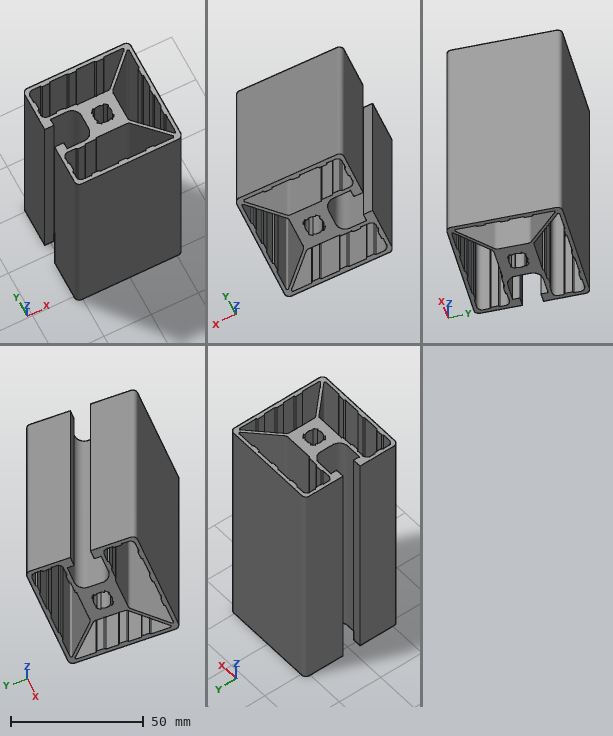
import cadquery as cq
import math

SIZE = 45.0
LENGTH = 100.0
OUTER_RADIUS = 2.0
WALL = 1.5
HALF = SIZE / 2
INNER = HALF - WALL

LIP_HALF_GAP = 4.1
LIP_DEPTH = 3.9
SLOT_DEPTH = 15.0
SLOT_HALF_WIDTH = 6.9
SLOT_RADIUS = 4.0
SLOT_WALL = 1.4
SLOT_WALL_OUTER = SLOT_HALF_WIDTH + SLOT_WALL

CORE_HALF_X = 7.5
CORE_HALF_Y = 7.8
STEP_X = -7.2
STEP_LENGTH = 0.5
WEB = 1.2
WEB_OFFSET = WEB / math.sqrt(2)
CHAMBER_RADIUS = 2.0
WEB_ROOT_RADIUS = 2.0
WEB_TIP_RADIUS = 0.5

HOLE_RADIUS = 3.6
LOBE_RADIUS = 4.2
LOBE_ANGLE = 26.0

PAD_WIDTH = 3.0
PAD_HEIGHT = 0.5
PAD_BASE = PAD_WIDTH + 2 * PAD_HEIGHT
PAD_ROOT = 0.1
SIDE_PAD_X = (-13.6, -2.3, 9.3)
END_PAD_PITCH = 9.2
LIP_PAD_Y = 14.4


def prism(points):
    return cq.Workplane("XY").polyline(points).close().extrude(LENGTH)


def round_edge(body, point, radius):
    """Fillet the vertical edge that passes through the given XY point."""
    x, y = point
    edge = cq.selectors.NearestToPointSelector((x, y, LENGTH / 2))
    return body.edges("|Z").edges(edge).fillet(radius)


def mirror_y(body):
    return body.mirror("XZ")


def side_chamber():
    """Chamber on the +Y side, between slot wall, core, web and outer wall."""
    wall_corners = [(-INNER, INNER), (-INNER, SLOT_WALL_OUTER)]
    web_root = (CORE_HALF_Y - WEB_OFFSET, CORE_HALF_Y)
    web_tip = (INNER - WEB_OFFSET, INNER)
    step = [(STEP_X, SLOT_WALL_OUTER), (STEP_X + STEP_LENGTH, CORE_HALF_Y)]
    body = prism(wall_corners + step + [web_root, web_tip])
    for corner in wall_corners:
        body = round_edge(body, corner, CHAMBER_RADIUS)
    body = round_edge(body, web_root, WEB_ROOT_RADIUS)
    return round_edge(body, web_tip, WEB_TIP_RADIUS)


def end_chamber():
    """Trapezoidal chamber between the core, both webs and the +X wall."""
    root_y = CORE_HALF_X - WEB_OFFSET
    tip_y = INNER - WEB_OFFSET
    roots = [(CORE_HALF_X, -root_y), (CORE_HALF_X, root_y)]
    tips = [(INNER, tip_y), (INNER, -tip_y)]
    body = prism(roots + tips)
    for corner in roots:
        body = round_edge(body, corner, WEB_ROOT_RADIUS)
    for corner in tips:
        body = round_edge(body, corner, WEB_TIP_RADIUS)
    return body


def slot():
    """Open T-slot with a narrow mouth and rounded inner corners."""
    mouth = cq.Workplane("XY").box(LIP_DEPTH, 2 * LIP_HALF_GAP, LENGTH, centered=(False, True, False))
    depth = SLOT_DEPTH - LIP_DEPTH
    pocket = cq.Workplane("XY").box(depth, 2 * SLOT_HALF_WIDTH, LENGTH, centered=(False, True, False))
    pocket = pocket.edges("|Z and >X").fillet(SLOT_RADIUS).translate((LIP_DEPTH, 0, 0))
    return mouth.union(pocket).translate((-HALF, 0, 0))


def core_hole():
    hole = cq.Workplane("XY").circle(HOLE_RADIUS).extrude(LENGTH)
    half = math.radians(LOBE_ANGLE / 2)
    side_x = LOBE_RADIUS * math.cos(half)
    side_y = LOBE_RADIUS * math.sin(half)
    lobe = (
        cq.Workplane("XY")
        .lineTo(side_x, -side_y)
        .threePointArc((LOBE_RADIUS, 0), (side_x, side_y))
        .close()
        .extrude(LENGTH)
    )
    for angle in (45, 135, 225, 315):
        hole = hole.union(lobe.rotate((0, 0, 0), (0, 0, 1), angle))
    return hole


def pad(x, y, angle):
    """Pad rooted at (x, y); it rises along +Y turned by the given angle."""
    profile = [
        (-PAD_BASE / 2, -PAD_ROOT),
        (PAD_BASE / 2, -PAD_ROOT),
        (PAD_BASE / 2, 0),
        (PAD_WIDTH / 2, PAD_HEIGHT),
        (-PAD_WIDTH / 2, PAD_HEIGHT),
        (-PAD_BASE / 2, 0),
    ]
    return prism(profile).rotate((0, 0, 0), (0, 0, 1), angle).translate((x, y, 0))


body = cq.Workplane("XY").rect(SIZE, SIZE).extrude(LENGTH)
body = body.edges("|Z").fillet(OUTER_RADIUS)

chamber = side_chamber()
for cutter in (chamber, mirror_y(chamber), end_chamber(), slot(), core_hole()):
    body = body.cut(cutter)

side_pads = [pad(x, INNER, 180) for x in SIDE_PAD_X]
side_pads.append(pad(SIDE_PAD_X[0], SLOT_WALL_OUTER, 0))
side_pads.append(pad(-INNER, LIP_PAD_Y, -90))
for side_pad in side_pads:
    body = body.union(side_pad).union(mirror_y(side_pad))
for row in (-1, 0, 1):
    body = body.union(pad(INNER, row * END_PAD_PITCH, 90))

result = body